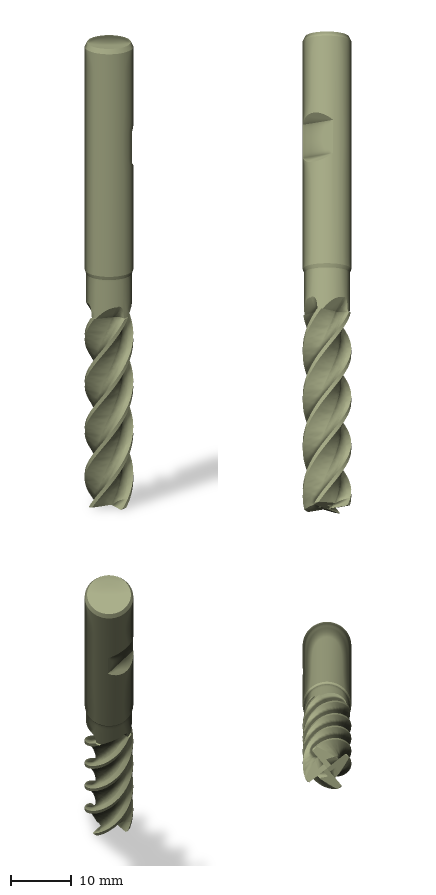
import cadquery as cq
import math

TOTAL_LENGTH = 80.0
CUT_RADIUS = 4.0
SHANK_RADIUS = 4.0
NECK_RADIUS = 3.8

FLUTE_TOP = 33.0
NECK_TOP = 40.0
SHANK_BOTTOM = 40.6
SHANK_CHAMFER_HEIGHT = 0.8
SHANK_CHAMFER_WIDTH = 0.4

FLAT_DEPTH = 1.4
FLAT_TOP = 65.0
FLAT_BOTTOM = 59.4

TOOTH_COUNT = 4
HELIX_ANGLE = 38.0
LAND_ANGLE = 11.0
RAKE_LENGTH = 1.0
GULLET_RADIUS = 1.0
RUNOUT_HEIGHT = 2.6
RUNOUT_SHIFT = 1.8
RUNOUT_ANGLE = 10.0

CORNER_CHAMFER = 0.2
END_RELIEF_ANGLE = 15.0
GASH_HEIGHT = 1.7
GASH_WIDTH = 1.6
GASH_AXIAL_RAKE = 38.0
TIP_CLEARANCE = 0.8
TIP_CORE_RADIUS = 0.8

TOOTH_PITCH = 360.0 / TOOTH_COUNT
HELIX_LEAD = 2.0 * math.pi * CUT_RADIUS / math.tan(math.radians(HELIX_ANGLE))
FLUTE_TWIST = 360.0 * FLUTE_TOP / HELIX_LEAD


def polar(radius, angle):
    """Point in the XY plane at a radius and an angle in degrees."""
    return (radius * math.cos(math.radians(angle)), radius * math.sin(math.radians(angle)))


def turned(point, angle):
    """Point turned about the origin by an angle in degrees."""
    radius = math.hypot(*point)
    return polar(radius, math.degrees(math.atan2(point[1], point[0])) + angle)


def add_flute(outline, rake_angle):
    """Continue an outline through one flute, from the land behind it to its cutting edge.

    The flank is straight, and a quarter-circle gullet joins it to the radial rake face.
    """
    rake_foot = CUT_RADIUS - RAKE_LENGTH
    diagonal = GULLET_RADIUS * math.sqrt(0.5)
    gullet_start = (rake_foot - GULLET_RADIUS, -GULLET_RADIUS)
    gullet_middle = (rake_foot - diagonal, diagonal - GULLET_RADIUS)
    return (
        outline.lineTo(*turned(gullet_start, rake_angle))
        .threePointArc(turned(gullet_middle, rake_angle), polar(rake_foot, rake_angle))
        .lineTo(*polar(CUT_RADIUS, rake_angle))
    )


def tooth_section():
    """Cross-section of the fluted part, with one cutting edge on the +X axis."""
    outline = cq.Workplane("XY").moveTo(CUT_RADIUS, 0)
    for tooth in range(TOOTH_COUNT):
        edge = tooth * TOOTH_PITCH
        outline = outline.threePointArc(
            polar(CUT_RADIUS, edge + LAND_ANGLE / 2), polar(CUT_RADIUS, edge + LAND_ANGLE)
        )
        outline = add_flute(outline, edge + TOOTH_PITCH)
    return outline.close()


def end_gash():
    """Wedge that opens the flute at the tip in front of the cutting edge on +X, outside the core."""
    slope = math.tan(math.radians(GASH_AXIAL_RAKE))
    return (
        cq.Workplane("YZ", origin=(TIP_CORE_RADIUS, 0, 0))
        .polyline(
            [
                (-TIP_CLEARANCE * slope, -TIP_CLEARANCE),
                (GASH_HEIGHT * slope, GASH_HEIGHT),
                (-GASH_WIDTH, 0),
                (-GASH_WIDTH, -TIP_CLEARANCE),
            ]
        )
        .close()
        .extrude(CUT_RADIUS + TIP_CLEARANCE)
    )


def end_relief():
    """Wedge that makes the end face rise behind the cutting edge on +X."""
    rise = CUT_RADIUS * math.tan(math.radians(END_RELIEF_ANGLE))
    return (
        cq.Workplane("YZ")
        .polyline([(0, 0), (CUT_RADIUS, rise), (CUT_RADIUS, 0)])
        .close()
        .extrude(CUT_RADIUS)
    )


def corner_chamfer():
    """Ring that takes a 45-degree chamfer off the outer corners of the tip."""
    inner_radius = CUT_RADIUS - CORNER_CHAMFER - TIP_CLEARANCE
    outer_radius = CUT_RADIUS + TIP_CLEARANCE
    return (
        cq.Workplane("XZ")
        .polyline(
            [
                (inner_radius, -TIP_CLEARANCE),
                (outer_radius, -TIP_CLEARANCE),
                (outer_radius, CORNER_CHAMFER + TIP_CLEARANCE),
            ]
        )
        .close()
        .revolve(360, (0, 0), (0, 1))
    )


def make_cutting_part():
    body = tooth_section().twistExtrude(FLUTE_TOP, FLUTE_TWIST).cut(corner_chamfer())
    for tooth in range(TOOTH_COUNT):
        angle = tooth * TOOTH_PITCH
        body = body.cut(end_relief().rotate((0, 0, 0), (0, 0, 1), angle))
        body = body.cut(end_gash().rotate((0, 0, 0), (0, 0, 1), angle))
    return body


def flute_runout(rake_angle):
    """Flute void that leans outward as it rises, so that it fades out of the neck."""
    land_end = rake_angle - TOOTH_PITCH + LAND_ANGLE
    outline = cq.Workplane("XY").moveTo(*polar(CUT_RADIUS, land_end))
    outline = add_flute(outline, rake_angle)
    outline = outline.threePointArc(
        polar(CUT_RADIUS, (rake_angle + land_end) / 2), polar(CUT_RADIUS, land_end)
    )
    shift = polar(RUNOUT_SHIFT, rake_angle - RUNOUT_ANGLE)
    lean = cq.Vector(*shift, RUNOUT_HEIGHT)
    void = cq.Solid.extrudeLinear(outline.close().val(), [], lean)
    return void.translate(cq.Vector(0, 0, FLUTE_TOP))


def make_shank():
    body = (
        cq.Workplane("XZ")
        .polyline(
            [
                (0, FLUTE_TOP),
                (NECK_RADIUS, FLUTE_TOP),
                (NECK_RADIUS, NECK_TOP),
                (SHANK_RADIUS, SHANK_BOTTOM),
                (SHANK_RADIUS, TOTAL_LENGTH - SHANK_CHAMFER_HEIGHT),
                (SHANK_RADIUS - SHANK_CHAMFER_WIDTH, TOTAL_LENGTH),
                (0, TOTAL_LENGTH),
            ]
        )
        .close()
        .revolve(360, (0, 0), (0, 1))
    )
    for tooth in range(TOOTH_COUNT):
        body = body.cut(cq.Workplane(flute_runout(FLUTE_TWIST + tooth * TOOTH_PITCH)))
    return body.cut(clamping_flat())


def clamping_flat():
    """Flat across the +Y side of the shank, with ends sloping out at 45 degrees."""
    floor = SHANK_RADIUS - FLAT_DEPTH
    return (
        cq.Workplane("YZ")
        .polyline(
            [
                (floor, FLAT_BOTTOM),
                (SHANK_RADIUS, FLAT_BOTTOM - FLAT_DEPTH),
                (SHANK_RADIUS, FLAT_TOP + FLAT_DEPTH),
                (floor, FLAT_TOP),
            ]
        )
        .close()
        .extrude(SHANK_RADIUS, both=True)
    )


cutting_part = make_cutting_part()
shank = make_shank()

result = cq.Compound.makeCompound([cutting_part.val(), shank.val()])